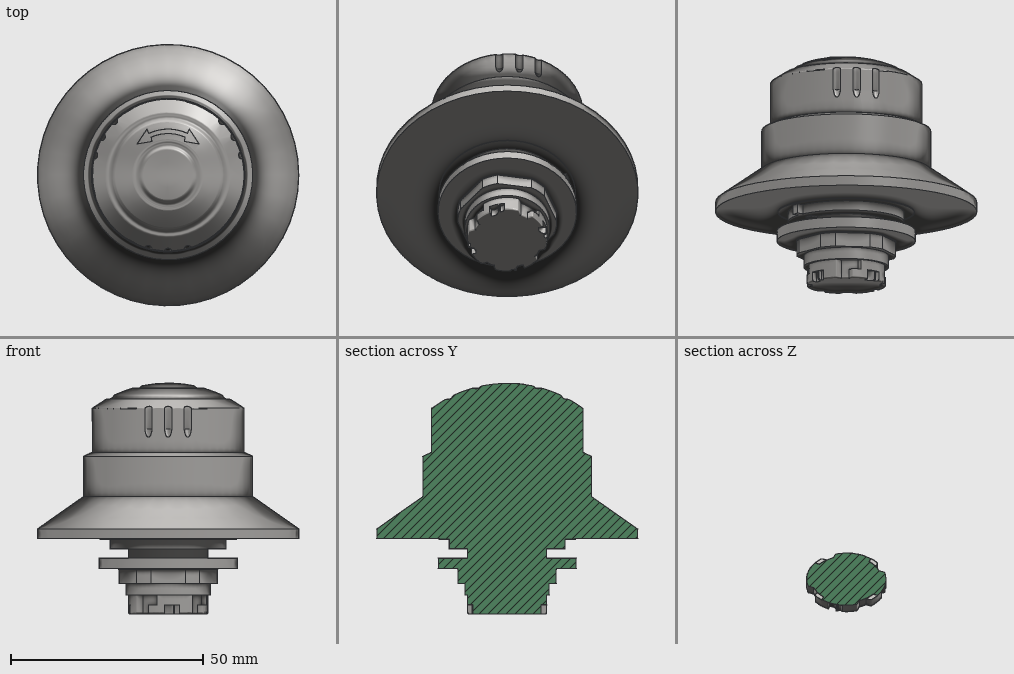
import cadquery as cq
import math

TOTAL_HEIGHT = 60.1
SLEEVE_BOTTOM = 4.95
NUT_BOTTOM = 7.95
NUT_FLARE_BOTTOM = 11.55
WASHER_BOTTOM = 11.8
WASHER_TOP = 14.55
HUB_BOTTOM = 17.0
GASKET_BOTTOM = 19.45
SKIRT_BOTTOM = 19.65
RIM_TOP = 22.2
COLLAR_BOTTOM = 30.6
COLLAR_BEVEL_BOTTOM = 41.1
COLLAR_TOP = 42.0

BARREL_RADIUS = 20.75 / 2
SLEEVE_RADIUS = 22.0 / 2
WASHER_RADIUS = 36.0 / 2
HUB_RADIUS = 30.2 / 2
GASKET_RADIUS = 35.5 / 2
SKIRT_RADIUS = 68 / 2
COLLAR_RADIUS = 44.0 / 2
COLLAR_LIP_RADIUS = 20.0
KNOB_RADIUS = 39.5 / 2

DOME_RADIUS = 33.0
DOME_CENTER_Z = TOTAL_HEIGHT - DOME_RADIUS
KNOB_EDGE_FILLET = 0.3
GROOVE_RADIUS = 1.3
GROOVE_DEPTH = 0.44
GROOVE_RING_RADII = (7.9, 15.0)

ARROW_RAISE = 0.24
ARROW_BASE_Z = 54.4
ARROW_SHAFT_OUTER_RADIUS = 12.0
ARROW_SHAFT_INNER_RADIUS = 10.8
ARROW_SHAFT_OUTER_X = 5.0
ARROW_SHAFT_INNER_X = 4.4
ARROW_OUTER_BARB = (5.5, 12.0)
ARROW_POINT = (8.1, 8.1)
ARROW_INNER_BARB = (4.2, 8.8)

FLUTE_RADIUS = 1.0
FLUTE_DEPTH = 0.75
FLUTE_RUNOUT_TOP = 48.15
FLUTE_RUNOUT_LENGTH = 2.1
FLUTE_GROUP_ANGLES = (30, 150, 270)
FLUTE_PITCH_ANGLE = 15

NUT_ACROSS_FLATS = 24.1
NUT_CORNER_RADIUS = 12.85
NUT_FLARE = 0.15

TAB_WIDTH = 2.05
HUB_TAB_REACH = 16.8
LOWER_TAB_REACH = 12.45
LOWER_TAB_BOTTOM = 16.6

CORE_RADIUS = 9.2
SLOT_STEP_Z = 2.45
SLOT_START_X = 6.4
SLOT_ENTRY_END_Y = -5.1
SLOT_LOCK_END_Y = -2.85
BARREL_FILLET = 0.51
LATCH_LEFT_X = -0.95
LATCH_RIGHT_X = 3.1
LATCH_LARGE_RADIUS = 1.5
LATCH_SMALL_RADIUS = 0.95
LATCH_RIDGE_LEFT_X = 1.35
LATCH_RIDGE_WIDTH = 0.35
QUARTER_TURNS = (0, 90, 180, 270)


def turned(shape, angle):
    """The shape turned about the part axis."""
    return shape.rotate((0, 0, 0), (0, 0, 1), angle)


def dome_point(distance, angle):
    """Point in the half section, in polar form about the dome center."""
    return (distance * math.sin(angle), DOME_CENTER_Z + distance * math.cos(angle))


def midpoint(a, b):
    return ((a[0] + b[0]) / 2, (a[1] + b[1]) / 2)


def dome_arc(outline, start_angle, end_angle):
    middle = dome_point(DOME_RADIUS, (start_angle + end_angle) / 2)
    return outline.threePointArc(middle, dome_point(DOME_RADIUS, end_angle))


def body_of_revolution():
    """Everything that is round about Z, from the core of the barrel to the dome."""
    edge_center_radius = KNOB_RADIUS - KNOB_EDGE_FILLET
    edge_center_distance = DOME_RADIUS - KNOB_EDGE_FILLET
    dome_end_angle = math.asin(edge_center_radius / edge_center_distance)
    knob_wall_top = DOME_CENTER_Z + edge_center_distance * math.cos(dome_end_angle)

    groove_center_distance = DOME_RADIUS + GROOVE_RADIUS - GROOVE_DEPTH
    rim_center_distance = DOME_RADIUS - GROOVE_RADIUS
    half_angle = math.acos(
        (groove_center_distance**2 + rim_center_distance**2 - (2 * GROOVE_RADIUS) ** 2)
        / (2 * groove_center_distance * rim_center_distance)
    )

    outline = cq.Workplane("XZ").moveTo(0, TOTAL_HEIGHT)
    angle = 0
    for ring_radius in GROOVE_RING_RADII:
        groove_angle = math.asin(ring_radius / DOME_RADIUS)
        inner_angle = groove_angle - half_angle
        outer_angle = groove_angle + half_angle
        groove_center = dome_point(groove_center_distance, groove_angle)
        inner_touch = midpoint(groove_center, dome_point(rim_center_distance, inner_angle))
        outer_touch = midpoint(groove_center, dome_point(rim_center_distance, outer_angle))
        outline = dome_arc(outline, angle, inner_angle)
        outline = outline.tangentArcPoint(inner_touch, relative=False)
        outline = outline.tangentArcPoint(outer_touch, relative=False)
        outline = outline.tangentArcPoint(dome_point(DOME_RADIUS, outer_angle), relative=False)
        angle = outer_angle
    outline = dome_arc(outline, angle, dome_end_angle)
    outline = outline.tangentArcPoint((KNOB_RADIUS, knob_wall_top), relative=False)

    return (
        outline.lineTo(KNOB_RADIUS, COLLAR_TOP)
        .lineTo(COLLAR_LIP_RADIUS, COLLAR_TOP)
        .lineTo(COLLAR_RADIUS, COLLAR_BEVEL_BOTTOM)
        .lineTo(COLLAR_RADIUS, COLLAR_BOTTOM)
        .lineTo(SKIRT_RADIUS, RIM_TOP)
        .lineTo(SKIRT_RADIUS, SKIRT_BOTTOM)
        .lineTo(GASKET_RADIUS, SKIRT_BOTTOM)
        .lineTo(GASKET_RADIUS, GASKET_BOTTOM)
        .lineTo(HUB_RADIUS, GASKET_BOTTOM)
        .lineTo(HUB_RADIUS, HUB_BOTTOM)
        .lineTo(BARREL_RADIUS, HUB_BOTTOM)
        .lineTo(BARREL_RADIUS, WASHER_TOP)
        .lineTo(WASHER_RADIUS, WASHER_TOP)
        .lineTo(WASHER_RADIUS, WASHER_BOTTOM)
        .lineTo(SLEEVE_RADIUS, WASHER_BOTTOM)
        .lineTo(SLEEVE_RADIUS, SLEEVE_BOTTOM)
        .lineTo(0, SLEEVE_BOTTOM)
        .close()
        .revolve(360, (0, 0, 0), (0, 1, 0))
    )


def arrow():
    """Double-headed arrow that follows the dome at a constant height."""
    shaft_outer_y = math.sqrt(ARROW_SHAFT_OUTER_RADIUS**2 - ARROW_SHAFT_OUTER_X**2)
    shaft_inner_y = math.sqrt(ARROW_SHAFT_INNER_RADIUS**2 - ARROW_SHAFT_INNER_X**2)

    def mirrored(point):
        return (-point[0], point[1])

    prism = (
        cq.Workplane("XY", origin=(0, 0, ARROW_BASE_Z))
        .moveTo(-ARROW_SHAFT_OUTER_X, shaft_outer_y)
        .threePointArc((0, ARROW_SHAFT_OUTER_RADIUS), (ARROW_SHAFT_OUTER_X, shaft_outer_y))
        .lineTo(*ARROW_OUTER_BARB)
        .lineTo(*ARROW_POINT)
        .lineTo(*ARROW_INNER_BARB)
        .lineTo(ARROW_SHAFT_INNER_X, shaft_inner_y)
        .threePointArc((0, ARROW_SHAFT_INNER_RADIUS), (-ARROW_SHAFT_INNER_X, shaft_inner_y))
        .lineTo(*mirrored(ARROW_INNER_BARB))
        .lineTo(*mirrored(ARROW_POINT))
        .lineTo(*mirrored(ARROW_OUTER_BARB))
        .close()
        .extrude(TOTAL_HEIGHT - ARROW_BASE_Z)
    )
    cap = cq.Workplane("XY", origin=(0, 0, DOME_CENTER_Z)).sphere(DOME_RADIUS + ARROW_RAISE)
    return prism.intersect(cap)


def flute():
    """Cutter for one flute at +X: a straight round channel that runs out at its lower end."""
    center_x = KNOB_RADIUS - FLUTE_DEPTH + FLUTE_RADIUS
    channel = (
        cq.Workplane("XY", origin=(center_x, 0, FLUTE_RUNOUT_TOP))
        .circle(FLUTE_RADIUS)
        .extrude(TOTAL_HEIGHT - FLUTE_RUNOUT_TOP)
    )
    runout = (
        cq.Workplane("XY", origin=(center_x, 0, FLUTE_RUNOUT_TOP))
        .circle(FLUTE_RADIUS)
        .workplane(offset=-2 * FLUTE_RUNOUT_LENGTH)
        .center(2 * FLUTE_DEPTH, 0)
        .circle(FLUTE_RADIUS)
        .loft()
    )
    return channel.union(runout)


def nut_section(bottom, top, flare_angle):
    """Hexagon with flats facing +Y and -Y, its corners trimmed round; both widen upward by the angle."""
    plane = cq.Workplane("XY", origin=(0, 0, bottom))
    corner_to_corner = NUT_ACROSS_FLATS / math.cos(math.pi / 6)
    hexagon = plane.polygon(6, corner_to_corner).extrude(top - bottom, taper=-flare_angle)
    corner_limit = plane.circle(NUT_CORNER_RADIUS).extrude(top - bottom, taper=-flare_angle)
    return hexagon.intersect(corner_limit)


def nut():
    """Hexagon nut whose top edge flares out slightly under the washer."""
    flare_angle = math.degrees(math.atan(NUT_FLARE / (WASHER_BOTTOM - NUT_FLARE_BOTTOM)))
    flare = nut_section(NUT_FLARE_BOTTOM, WASHER_BOTTOM, flare_angle)
    return nut_section(NUT_BOTTOM, NUT_FLARE_BOTTOM, 0).union(flare)


def tab(reach, bottom, top):
    """Radial block from the axis out to +Y."""
    return (
        cq.Workplane("XY", origin=(0, reach / 2, bottom))
        .rect(TAB_WIDTH, reach)
        .extrude(top - bottom)
    )


def slot_layer(end_y, bottom, top):
    """One level of a bayonet slot in the +X -Y quadrant, open to the outside."""
    corner = cq.Workplane("XY", origin=(0, 0, bottom))
    block = (
        corner.moveTo(SLOT_START_X, end_y)
        .lineTo(SLOT_START_X, -BARREL_RADIUS)
        .lineTo(BARREL_RADIUS, -BARREL_RADIUS)
        .lineTo(BARREL_RADIUS, end_y)
        .close()
        .extrude(top - bottom)
    )
    return block.cut(corner.circle(CORE_RADIUS).extrude(top - bottom))


def latch_pocket(left_x, right_x, radius):
    """Round pocket on the -Y side with a straight left wall; its right wall ends radially."""
    center_x = right_x - radius
    center_y = -BARREL_RADIUS
    left_wall_end_y = center_y + math.sqrt(radius**2 - (center_x - left_x) ** 2)
    diagonal = radius * math.sqrt(0.5)
    return (
        cq.Workplane("XY")
        .moveTo(left_x, center_y)
        .lineTo(left_x, left_wall_end_y)
        .threePointArc((center_x + diagonal, center_y + diagonal), (right_x, center_y))
        .close()
        .extrude(SLOT_STEP_Z)
    )


def latch_recess():
    """Large and small pocket side by side with a thin ridge between them."""
    ridge_right_x = LATCH_RIDGE_LEFT_X + LATCH_RIDGE_WIDTH
    large = latch_pocket(LATCH_LEFT_X, LATCH_RIDGE_LEFT_X, LATCH_LARGE_RADIUS)
    small = latch_pocket(ridge_right_x, LATCH_RIGHT_X, LATCH_SMALL_RADIUS)
    return large.union(small)


def round_outer_edges(barrel):
    """Round the vertical slot edges that lie on the outside of the barrel."""
    middle_radius = (BARREL_RADIUS + CORE_RADIUS) / 2
    edges = barrel.edges("|Z").filter(
        lambda edge: math.hypot(edge.Center().x, edge.Center().y) > middle_radius
    )
    return edges.fillet(BARREL_FILLET)


def bayonet_end():
    """Lower barrel: four L-shaped slots with rounded entries, and four latch recesses."""
    barrel = cq.Workplane("XY").circle(BARREL_RADIUS).extrude(SLEEVE_BOTTOM)
    entry = slot_layer(SLOT_ENTRY_END_Y, 0, SLEEVE_BOTTOM)
    lock = slot_layer(SLOT_LOCK_END_Y, SLOT_STEP_Z, SLEEVE_BOTTOM)
    for turn in QUARTER_TURNS:
        barrel = barrel.cut(turned(entry, turn))
    barrel = round_outer_edges(barrel)
    barrel = barrel.faces("<Z").edges().fillet(BARREL_FILLET)
    side_cuts = lock.union(latch_recess())
    for turn in QUARTER_TURNS:
        barrel = barrel.cut(turned(side_cuts, turn))
    return barrel


body = body_of_revolution().union(arrow())
for group_angle in FLUTE_GROUP_ANGLES:
    for step in (-1, 0, 1):
        flute_angle = group_angle + step * FLUTE_PITCH_ANGLE
        body = body.cut(turned(flute(), flute_angle))

result = (
    body.union(nut())
    .union(tab(HUB_TAB_REACH, HUB_BOTTOM, GASKET_BOTTOM))
    .union(tab(LOWER_TAB_REACH, LOWER_TAB_BOTTOM, HUB_BOTTOM))
    .union(bayonet_end())
)